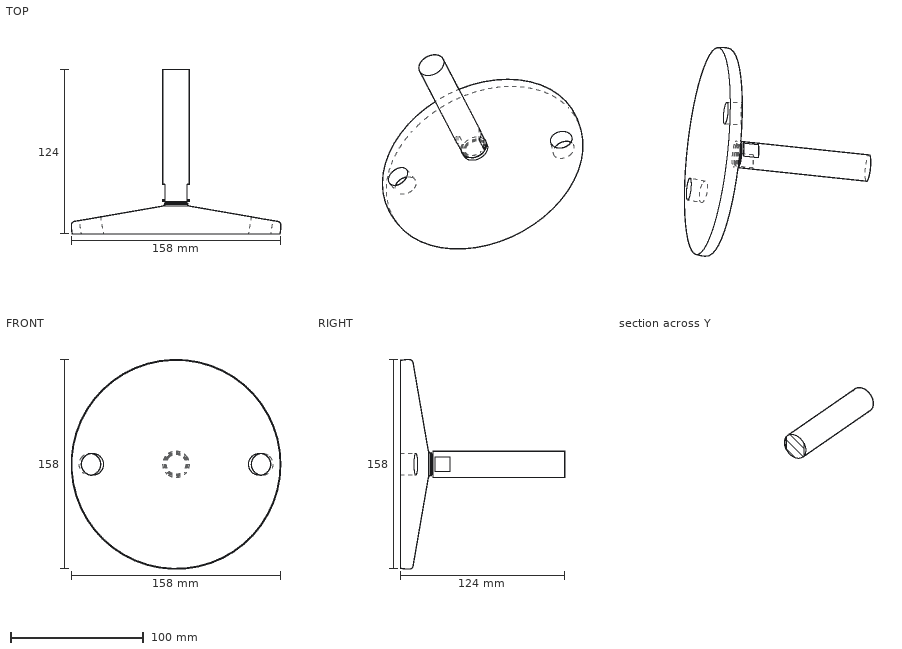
import cadquery as cq
import math

FOOT_RADIUS = 79.0
FRONT_RADIUS = 78.4
TAPER_HEIGHT = 4.3
RIM_HEIGHT = 6.8
RIM_ROUND = 3.0
CONE_ANGLE = 9.8
CONE_TOP_RADIUS = 11.0

SEAT_RADIUS = 8.2
SEAT_HEIGHT = 22.3
FLARE_RADIUS = 9.8
FLARE_HEIGHT = 21.3

HOLE_DIAMETER = 16.5
HOLE_OFFSET = 62.9
HOLE_CUT_LENGTH = 63.2

TOTAL_LENGTH = 124.0
STEM_DIAMETER = 20.0
SHANK_START = 24.6
FLAT_DISTANCE = 16.7
FLAT_LENGTH = 11.5
FLAT_END_GAP = 1.5

NECK_TOP_RADIUS = 7.9
UNDERCUT_RADIUS = 7.5
UNDERCUT_HEIGHT = 24.0
COLLAR_RADIUS = 8.8
COLLAR_HEIGHT = 23.2

cone_slope = math.radians(CONE_ANGLE)
round_centre_radius = FOOT_RADIUS - RIM_ROUND


def round_point(angle):
    """Point (radius, Y) on the rim round at an angle from the radial direction."""
    return (
        round_centre_radius + RIM_ROUND * math.cos(angle),
        RIM_HEIGHT + RIM_ROUND * math.sin(angle),
    )


round_end_angle = math.pi / 2 - cone_slope
cone_start = round_point(round_end_angle)
cone_top_height = cone_start[1] + (cone_start[0] - CONE_TOP_RADIUS) * math.tan(cone_slope)


def revolve_about_y(outline):
    return outline.close().revolve(360, (0, 0, 0), (0, 1, 0))


def make_hole(side):
    """Cutter leaning outwards from the flat face; side is -1 or 1."""
    direction = cq.Vector(side * math.sin(cone_slope), math.cos(cone_slope), 0)
    start = cq.Vector(side * HOLE_OFFSET, 0, 0) - direction * (HOLE_CUT_LENGTH / 2)
    return cq.Solid.makeCylinder(HOLE_DIAMETER / 2, HOLE_CUT_LENGTH, start, direction)


def make_foot():
    foot = revolve_about_y(
        cq.Workplane("XY")
        .lineTo(FRONT_RADIUS, 0)
        .lineTo(FOOT_RADIUS, TAPER_HEIGHT)
        .lineTo(FOOT_RADIUS, RIM_HEIGHT)
        .threePointArc(round_point(round_end_angle / 2), cone_start)
        .lineTo(CONE_TOP_RADIUS, cone_top_height)
        .lineTo(FLARE_RADIUS, FLARE_HEIGHT)
        .lineTo(SEAT_RADIUS, SEAT_HEIGHT)
        .lineTo(0, SEAT_HEIGHT)
    )
    for side in (-1, 1):
        foot = foot.cut(cq.Workplane(obj=make_hole(side)))
    return foot


def make_stem():
    stem_radius = STEM_DIAMETER / 2
    stem = revolve_about_y(
        cq.Workplane("XY")
        .moveTo(0, SEAT_HEIGHT)
        .lineTo(SEAT_RADIUS, SEAT_HEIGHT)
        .lineTo(COLLAR_RADIUS, COLLAR_HEIGHT)
        .lineTo(UNDERCUT_RADIUS, UNDERCUT_HEIGHT)
        .lineTo(NECK_TOP_RADIUS, SHANK_START)
        .lineTo(stem_radius, SHANK_START)
        .lineTo(stem_radius, TOTAL_LENGTH)
        .lineTo(0, TOTAL_LENGTH)
    )
    flat_depth = stem_radius - FLAT_DISTANCE / 2
    for side in (-1, 1):
        flat = cq.Workplane("XY").box(flat_depth, FLAT_LENGTH, STEM_DIAMETER).translate(
            (side * (stem_radius - flat_depth / 2), SHANK_START + FLAT_END_GAP + FLAT_LENGTH / 2, 0)
        )
        stem = stem.cut(flat)
    return stem


foot = make_foot()
stem = make_stem()
result = cq.Compound.makeCompound([foot.val(), stem.val()])